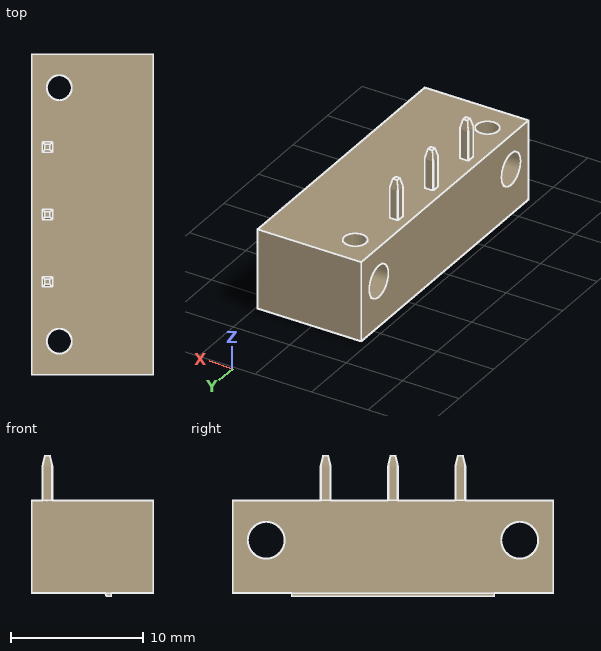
import cadquery as cq

housing_width = 9.2
housing_length = 24.25
housing_height = 7.0

pin_count = 3
pin_pitch = 5.1
pin_inset = 1.2
pin_side = 0.78
pin_height = 3.4
pin_edge_chamfer = 0.05
tip_side = 0.4
tip_height = 0.82

hole_spacing = 19.17
vertical_hole_diameter = 1.87
vertical_hole_inset = 2.09
cross_hole_diameter = 2.77
cross_hole_depth_below_top = 3.0

rib_length = 15.33
rib_width = 0.44
rib_height = 0.25
rib_inset = 5.58
rib_fillet = 0.2

hole_positions_y = (-hole_spacing / 2, hole_spacing / 2)


def make_housing():
    return cq.Workplane("XY").box(
        housing_width, housing_length, housing_height, centered=(False, True, False)
    )


def make_vertical_holes():
    return (
        cq.Workplane("XY")
        .pushPoints([(vertical_hole_inset, y) for y in hole_positions_y])
        .circle(vertical_hole_diameter / 2)
        .extrude(housing_height)
    )


def make_cross_holes():
    hole_z = housing_height - cross_hole_depth_below_top
    return (
        cq.Workplane("YZ")
        .pushPoints([(y, hole_z) for y in hole_positions_y])
        .circle(cross_hole_diameter / 2)
        .extrude(housing_width)
    )


def make_pin(y):
    """Pin on the housing top: square with chamfered long edges, its tip cut to a blunt pyramid."""
    shank_height = pin_height - tip_height
    base = cq.Workplane("XY").workplane(offset=housing_height).center(pin_inset, y)
    chamfered_bar = base.rect(pin_side, pin_side).extrude(pin_height).edges("|Z").chamfer(pin_edge_chamfer)
    shank = base.rect(pin_side, pin_side).extrude(shank_height)
    tip = (
        base.workplane(offset=shank_height)
        .rect(pin_side, pin_side)
        .workplane(offset=tip_height)
        .rect(tip_side, tip_side)
        .loft(ruled=True)
    )
    return shank.union(tip).intersect(chamfered_bar)


def make_rib():
    """Rib hanging below the housing, with its lower left edge rounded."""
    return (
        cq.Workplane("XY")
        .box(rib_width, rib_length, rib_height, centered=(False, True, False))
        .edges("<X and <Z")
        .fillet(rib_fillet)
        .translate((rib_inset, 0, -rib_height))
    )


result = make_housing().cut(make_vertical_holes()).cut(make_cross_holes()).union(make_rib())
for i in range(pin_count):
    pin_y = (i - (pin_count - 1) / 2) * pin_pitch
    result = result.union(make_pin(pin_y))